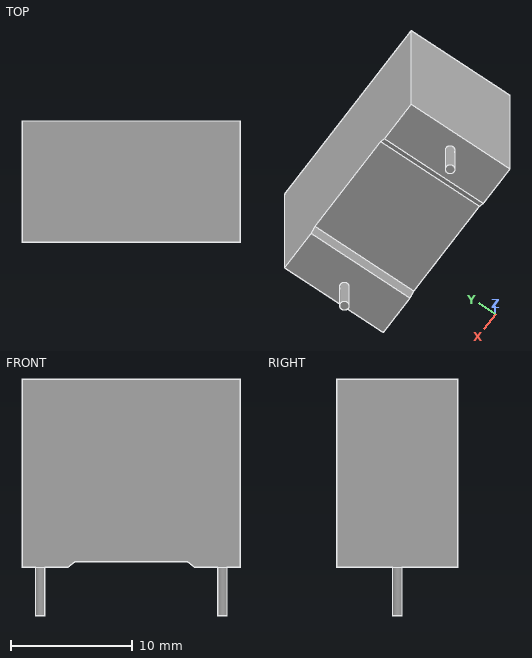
import cadquery as cq

OVERALL_HEIGHT = 19.5

HOUSING_LENGTH = 18.0
HOUSING_WIDTH = 10.0
HOUSING_HEIGHT = 15.5

RELIEF_BOTTOM_LENGTH = 10.41
RELIEF_TOP_LENGTH = 9.32
RELIEF_DEPTH = 0.45

LEAD_DIAMETER = 0.8
LEG_SPACING = 15.02
LEG_LENGTH = OVERALL_HEIGHT - HOUSING_HEIGHT
BRIDGE_HEIGHT = 1.95


def make_lead():
    """One U-shaped wire with mitred corners, legs pointing down."""
    half_spacing = LEG_SPACING / 2
    path = (
        cq.Workplane("XZ")
        .moveTo(-half_spacing, -LEG_LENGTH)
        .lineTo(-half_spacing, BRIDGE_HEIGHT)
        .lineTo(half_spacing, BRIDGE_HEIGHT)
        .lineTo(half_spacing, -LEG_LENGTH)
    )
    return (
        cq.Workplane("XY", origin=(-half_spacing, 0, -LEG_LENGTH))
        .circle(LEAD_DIAMETER / 2)
        .sweep(path, transition="right")
    )


def make_relief():
    """Trapezoidal channel running through the full width of the housing."""
    return (
        cq.Workplane("XZ", origin=(0, HOUSING_WIDTH / 2, 0))
        .polyline([
            (-RELIEF_BOTTOM_LENGTH / 2, 0),
            (-RELIEF_TOP_LENGTH / 2, RELIEF_DEPTH),
            (RELIEF_TOP_LENGTH / 2, RELIEF_DEPTH),
            (RELIEF_BOTTOM_LENGTH / 2, 0),
        ])
        .close()
        .extrude(HOUSING_WIDTH)
    )


def make_housing(lead):
    """Block with the underside relief and a matching passage for the lead."""
    block = cq.Workplane("XY").box(
        HOUSING_LENGTH, HOUSING_WIDTH, HOUSING_HEIGHT, centered=(True, True, False)
    )
    return block.cut(make_relief()).cut(lead).solids()


lead = make_lead()
housing = make_housing(lead)

result = cq.Compound.makeCompound([housing.val(), lead.val()])